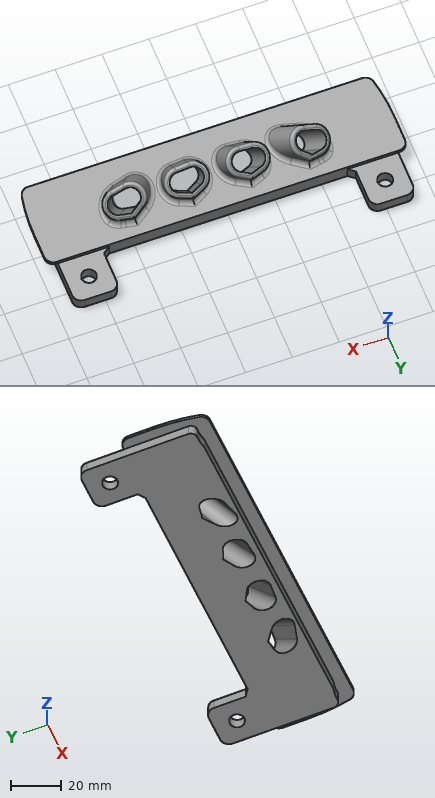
import cadquery as cq
import math

plate_length = 154.0
plate_depth = 37.0
plate_thickness = 1.5
corner_radius = 3.8
side_curve_start = 21.5
front_corner_inset = 2.6

base_height = 5.2
base_half_length = 72.7
base_front = 5.5
step_depth = 0.6
step_outer_x = 67.6
step_inner_x = 63.9
base_front_radius = 2.8
tab_width = 19.0
tab_overhang = 19.9
gusset_width = 3.0
gusset_length = 2.2
hole_diameter = 6.3
hole_setback = 9.9

nozzle_pitch = 23.9
nozzle_front = 10.5
backward_lean = 35.0
inner_splay = 7.0
outer_splay = 24.0
nozzle_length = 17.0
bore_radius = 4.2
side_arc_offset = 3.0
roof_angle = 22.0
wall = 2.3
rim_radius = 1.4
root_radius = 2.0

top_z = base_height + plate_thickness
tab_rear = plate_depth + tab_overhang
tab_inner_x = base_half_length - tab_width
outer_radius = bore_radius + wall
overrun = 18.5


def make_plate():
    half = plate_length / 2
    end_x = half - front_corner_inset
    arc_radius = (side_curve_start**2 + front_corner_inset**2) / (2 * front_corner_inset)
    half_turn = math.asin(side_curve_start / arc_radius) / 2
    mid_x = half - arc_radius * (1 - math.cos(half_turn))
    mid_y = side_curve_start - arc_radius * math.sin(half_turn)
    return (
        cq.Workplane("XY", origin=(0, 0, base_height))
        .moveTo(-end_x, 0)
        .lineTo(end_x, 0)
        .threePointArc((mid_x, mid_y), (half, side_curve_start))
        .lineTo(half, plate_depth)
        .lineTo(-half, plate_depth)
        .lineTo(-half, side_curve_start)
        .threePointArc((-mid_x, mid_y), (-end_x, 0))
        .close()
        .extrude(plate_thickness)
        .edges("|Z")
        .edges("<Y or >Y")
        .fillet(corner_radius)
    )


def make_base():
    end_front = base_front + step_depth
    right_side = [
        (step_inner_x, base_front),
        (step_outer_x, end_front),
        (base_half_length, end_front),
        (base_half_length, tab_rear),
        (tab_inner_x, tab_rear),
        (tab_inner_x, plate_depth + gusset_length),
        (tab_inner_x - gusset_width, plate_depth),
    ]
    left_side = [(-x, y) for x, y in reversed(right_side)]
    base = cq.Workplane("XY").polyline(right_side + left_side).close().extrude(base_height)
    base = base.edges("|Z").edges(">Y").fillet(corner_radius)
    for x in (-base_half_length, base_half_length):
        corner = (x, end_front, base_height / 2)
        base = base.edges(cq.selectors.NearestToPointSelector(corner)).fillet(base_front_radius)
    hole_x = base_half_length - tab_width / 2
    holes = (
        cq.Workplane("XY")
        .pushPoints([(-hole_x, tab_rear - hole_setback), (hole_x, tab_rear - hole_setback)])
        .circle(hole_diameter / 2)
        .extrude(base_height)
    )
    return base.cut(holes)


def nozzle_section(radius):
    """Flat-bottomed prism along Z, with round sides and a ridged roof.

    The outer flat face lies at Y = 0; bore and outside share their side arc centres.
    """
    roof = math.radians(roof_angle)
    shoulder_x = side_arc_offset + radius * math.sin(roof)
    shoulder_y = radius * math.cos(roof)
    ridge_y = shoulder_y + shoulder_x * math.tan(roof)
    side_x = side_arc_offset + radius
    return (
        cq.Workplane("XY", origin=(0, wall + bore_radius, -overrun))
        .moveTo(-side_arc_offset, -radius)
        .lineTo(side_arc_offset, -radius)
        .threePointArc((side_x, 0), (shoulder_x, shoulder_y))
        .lineTo(0, ridge_y)
        .lineTo(-shoulder_x, shoulder_y)
        .threePointArc((-side_x, 0), (-side_arc_offset, -radius))
        .close()
        .extrude(nozzle_length + overrun)
    )


def place_nozzle(shape, x, splay):
    return (
        shape.rotate((0, 0, 0), (1, 0, 0), -backward_lean)
        .rotate((0, 0, 0), (0, 1, 0), splay)
        .translate((x, nozzle_front, top_z))
    )


def round_nozzle_roots(plate):
    """Round the edges where the nozzles leave the top face, which lie inside the plate outline."""
    clearance = 0.2
    root_edges = cq.selectors.BoxSelector(
        (-base_half_length, clearance, top_z - clearance),
        (base_half_length, plate_depth - clearance, top_z + clearance),
    )
    return plate.edges(root_edges).fillet(root_radius)


nozzle_places = []
for side in (-1, 1):
    nozzle_places.append((side * nozzle_pitch / 2, side * inner_splay))
    nozzle_places.append((side * nozzle_pitch * 1.5, side * outer_splay))

below_plate = cq.Workplane("XY", origin=(0, 0, base_height)).rect(
    2 * plate_length, 2 * plate_length
).extrude(-plate_length)

plate = make_plate()
for x, splay in nozzle_places:
    nozzle = nozzle_section(outer_radius).faces(">Z").edges().fillet(rim_radius)
    plate = plate.union(place_nozzle(nozzle, x, splay).cut(below_plate))

result = round_nozzle_roots(plate).union(make_base())

for x, splay in nozzle_places:
    result = result.cut(place_nozzle(nozzle_section(bore_radius), x, splay))